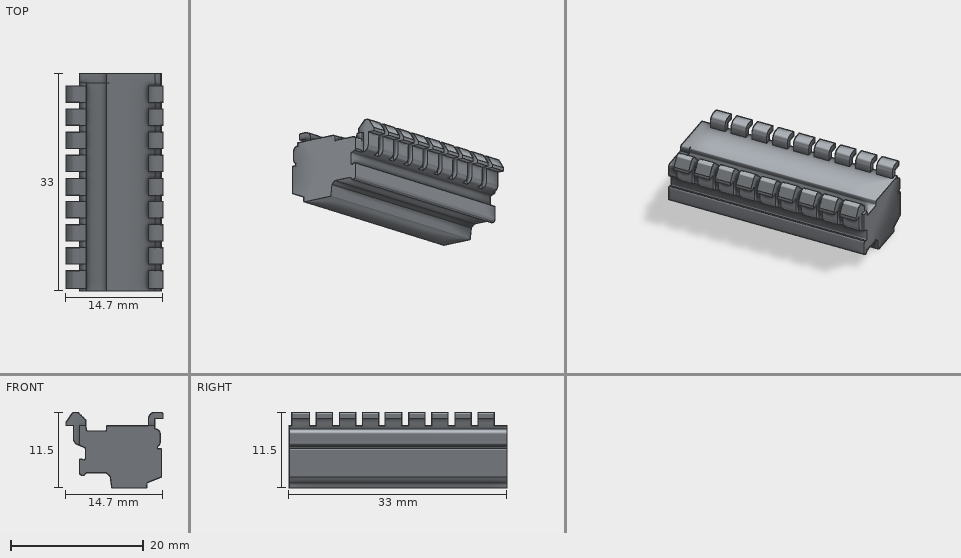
import cadquery as cq
import math

length_x = 14.7
length_y = 33.0
height = 11.5

x_max = length_x / 2
y_max = length_y / 2
z_max = height / 2
z_bottom = -z_max

body_left = -5.33
body_top = 3.74
lip_right = -4.34
groove_wall = -1.25
groove_floor = 2.92
groove_lip_foot = (-4.22, 3.07)
groove_lip_mid = (-4.18, 2.96)
groove_floor_start = -4.08
groove_floor_radius = 0.15
groove_edge_radius = 0.2
shoulder_x = 6.11
shoulder_z = 3.24
bulge_x = 6.93
bulge_top_radius = bulge_x - shoulder_x
bulge_straight_end = 1.25
bulge_mid = (6.83, 0.88)
neck_x = 6.53
neck_top = 0.6
neck_floor = 0.24
right_wall = 7.13
right_edge_radius = 0.2
side_notch_wall = -4.42
side_notch_top = 0.20
side_notch_mid = (-4.45, 0.33)
side_notch_roof = (-4.56, 0.42)
underside_outer_z = 0.73
foot_top_outer_z = -1.30
foot_top_inner_z = -1.46
foot_inner_radius = 0.2
foot_bottom = -3.84
foot_radius = 0.47
foot_top_radius = 0.22
ledge_z = -3.44

right_wall_end = (right_wall, -4.04)
base_right_top = (4.94, -4.94)
base_right = 4.90
base_left = -0.45
base_radius = 0.18
base_left_top = (-0.67, -3.95)
ledge_right = -1.25
ledge_left = -4.28
foot_tip_x = -4.65

tooth_count = 9
tooth_pitch = 3.5
tooth_width = 2.5
middle_tooth_width = 2.6
last_tooth_width = 2.7
first_tooth_y = 14.6
tooth_stem_x = -6.23
tooth_stem_end = 1.76
tooth_curve_mid = (-6.03, 1.17)
tooth_curve_end = (-5.61, 0.85)
tooth_barb_z = 4.24
tooth_ramp_end = (-6.47, 5.54)
tooth_nose_mid = (-6.28, 5.69)
tooth_flat_start = -6.03
tooth_flat_end = -5.68
tooth_back_mid = (-5.53, 5.71)
tooth_back_start = (-5.41, 5.62)
tooth_back_end_z = 4.56
hook_left = 5.13
hook_thickness = shoulder_x - hook_left
hook_outer_radius = 1.0
hook_tip_radius = 0.3
hook_under_radius = 0.12

recess_length = 1.5
recess_floor = 2.84
recess_left_radius = 0.5
recess_edge_radius = 0.4
end_corner_size = 0.18
end_corner_drop = 0.07


def round_to(sketch, start, corner, end):
    """Draw to `start`, then a quarter arc to `end` that rounds off the square `corner`."""
    blend = math.sqrt(0.5)
    centre = (start[0] + end[0] - corner[0], start[1] + end[1] - corner[1])
    mid_x = centre[0] + (corner[0] - centre[0]) * blend
    mid_z = centre[1] + (corner[1] - centre[1]) * blend
    return sketch.lineTo(*start).threePointArc((mid_x, mid_z), end)


def extrude_along_y(sketch, y_high, width):
    """Close an XZ outline and extrude it from y_high toward -Y."""
    return sketch.close().extrude(width).translate((0, y_high, 0))


def make_body():
    s = cq.Workplane("XZ").moveTo(body_left, body_top)
    s = s.lineTo(lip_right, body_top).lineTo(*groove_lip_foot)
    s = s.threePointArc(groove_lip_mid, (groove_floor_start, groove_floor))
    s = round_to(
        s,
        (groove_wall - groove_floor_radius, groove_floor),
        (groove_wall, groove_floor),
        (groove_wall, groove_floor + groove_floor_radius),
    )
    s = round_to(
        s,
        (groove_wall, body_top - groove_edge_radius),
        (groove_wall, body_top),
        (groove_wall + groove_edge_radius, body_top),
    )
    s = s.lineTo(shoulder_x, body_top)
    s = round_to(
        s,
        (shoulder_x, shoulder_z),
        (bulge_x, shoulder_z),
        (bulge_x, shoulder_z - bulge_top_radius),
    )
    s = s.lineTo(bulge_x, bulge_straight_end).threePointArc(bulge_mid, (neck_x, neck_top))
    s = s.lineTo(neck_x, neck_floor)
    s = round_to(
        s,
        (right_wall - right_edge_radius, neck_floor),
        (right_wall, neck_floor),
        (right_wall, neck_floor - right_edge_radius),
    )
    s = s.lineTo(*right_wall_end).lineTo(*base_right_top)
    s = round_to(
        s,
        (base_right, z_bottom + base_radius),
        (base_right, z_bottom),
        (base_right - base_radius, z_bottom),
    )
    s = round_to(
        s,
        (base_left + base_radius, z_bottom),
        (base_left, z_bottom),
        (base_left, z_bottom + base_radius),
    )
    s = s.lineTo(*base_left_top).lineTo(ledge_right, ledge_z)
    s = s.lineTo(ledge_left, ledge_z).lineTo(foot_tip_x, foot_bottom)
    s = round_to(
        s,
        (body_left + foot_radius, foot_bottom),
        (body_left, foot_bottom),
        (body_left, foot_bottom + foot_radius),
    )
    s = round_to(
        s,
        (body_left, foot_top_outer_z - foot_top_radius),
        (body_left, foot_top_outer_z),
        (body_left + foot_top_radius, foot_top_outer_z),
    )
    s = round_to(
        s,
        (side_notch_wall - foot_inner_radius, foot_top_inner_z),
        (side_notch_wall, foot_top_inner_z),
        (side_notch_wall, foot_top_inner_z + foot_inner_radius),
    )
    s = s.lineTo(side_notch_wall, side_notch_top)
    s = s.threePointArc(side_notch_mid, side_notch_roof)
    s = s.lineTo(body_left, underside_outer_z)
    return extrude_along_y(s, y_max, length_y)


def tooth_outline():
    s = cq.Workplane("XZ").moveTo(body_left, underside_outer_z).lineTo(*tooth_curve_end)
    s = s.threePointArc(tooth_curve_mid, (tooth_stem_x, tooth_stem_end))
    s = s.lineTo(tooth_stem_x, body_top).lineTo(-x_max, body_top).lineTo(-x_max, tooth_barb_z)
    s = s.lineTo(*tooth_ramp_end).threePointArc(tooth_nose_mid, (tooth_flat_start, z_max))
    s = s.lineTo(tooth_flat_end, z_max).threePointArc(tooth_back_mid, tooth_back_start)
    s = s.lineTo(lip_right, tooth_back_end_z).lineTo(lip_right, body_top)
    return s.lineTo(body_left, body_top)


def hook_outline():
    hook_under = z_max - hook_thickness
    s = cq.Workplane("XZ").moveTo(hook_left, body_top)
    s = round_to(
        s,
        (hook_left, z_max - hook_outer_radius),
        (hook_left, z_max),
        (hook_left + hook_outer_radius, z_max),
    )
    s = round_to(
        s,
        (x_max - hook_tip_radius, z_max),
        (x_max, z_max),
        (x_max, z_max - hook_tip_radius),
    )
    s = round_to(
        s,
        (x_max, hook_under + hook_under_radius),
        (x_max, hook_under),
        (x_max - hook_under_radius, hook_under),
    )
    return s.lineTo(shoulder_x, hook_under).lineTo(shoulder_x, body_top)


def tooth_widths():
    widths = [tooth_width] * tooth_count
    widths[tooth_count // 2] = middle_tooth_width
    widths[-1] = last_tooth_width
    return widths


def add_clips(body):
    for index, width in enumerate(tooth_widths()):
        y_high = first_tooth_y - index * tooth_pitch
        body = body.union(extrude_along_y(tooth_outline(), y_high, width))
        body = body.union(extrude_along_y(hook_outline(), y_high, width))
    return body


def cut_end_recess(body):
    """Remove the upper left lip at the +Y end, with a rounded outer and inner edge."""
    s = cq.Workplane("XZ").moveTo(body_left, body_top)
    s = round_to(
        s,
        (body_left, recess_floor - recess_left_radius),
        (body_left, recess_floor),
        (body_left + recess_left_radius, recess_floor),
    )
    s = s.lineTo(groove_wall, recess_floor)
    s = round_to(
        s,
        (groove_wall, body_top - recess_edge_radius),
        (groove_wall, body_top),
        (groove_wall + recess_edge_radius, body_top),
    )
    return body.cut(extrude_along_y(s, y_max, recess_length))


def cut_end_corner(body):
    """Bevel the lower edge of the overhang at the +Y end."""
    s = cq.Workplane("XZ").moveTo(body_left, underside_outer_z + end_corner_size)
    s = s.lineTo(body_left + end_corner_size, underside_outer_z - end_corner_drop)
    s = s.lineTo(body_left, underside_outer_z - end_corner_drop)
    return body.cut(extrude_along_y(s, y_max, recess_length))


body = add_clips(make_body())
result = cut_end_corner(cut_end_recess(body))